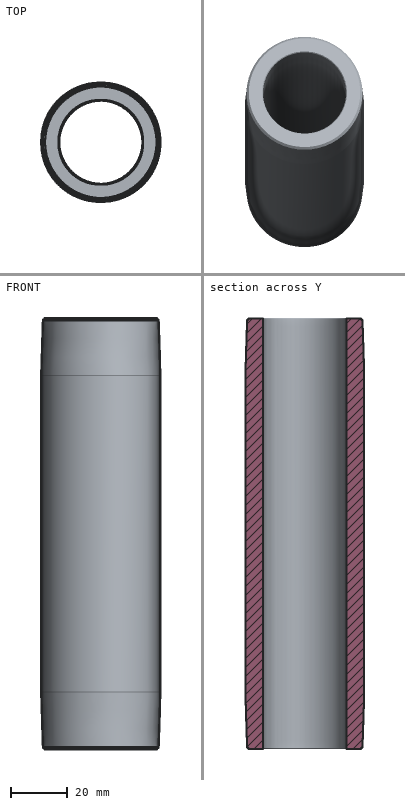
import cadquery as cq

length = 152.4
outer_diameter = 42.2
bore_diameter = 29.4

taper_length = 20.3
taper_ratio = 1 / 16
rim_chamfer = 0.8
bore_chamfer = 0.3

outer_radius = outer_diameter / 2
bore_radius = bore_diameter / 2
end_radius = outer_radius - taper_length * taper_ratio / 2
half_length = length / 2
taper_start = half_length - taper_length


def pipe_body():
    """Revolve the wall section on the -X side, so the seam lies there."""
    wall = (
        cq.Workplane("XZ")
        .moveTo(-bore_radius, -half_length)
        .lineTo(-end_radius, -half_length)
        .lineTo(-outer_radius, -taper_start)
        .lineTo(-outer_radius, taper_start)
        .lineTo(-end_radius, half_length)
        .lineTo(-bore_radius, half_length)
        .close()
    )
    return wall.revolve(360, (0, 0, 0), (0, 1, 0))


def chamfer_end(pipe, end_face):
    """Break the outer rim and the bore mouth of one end face."""
    rim = pipe.faces(end_face).edges(cq.selectors.RadiusNthSelector(-1))
    pipe = rim.chamfer(rim_chamfer)
    mouth = pipe.faces(end_face).edges(cq.selectors.RadiusNthSelector(0))
    return mouth.chamfer(bore_chamfer)


result = pipe_body()
for end_face in ("<Z", ">Z"):
    result = chamfer_end(result, end_face)